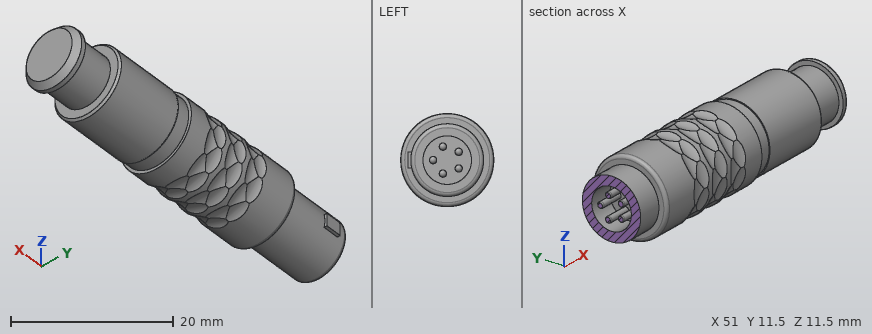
import cadquery as cq
import math

total_length = 51.0
grip_start = 11.0
grip_end = 30.8
groove_end = 32.9
rear_sleeve_end = 43.95
flange_start = 49.4

nose_diameter = 9.0
grip_diameter = 11.5
groove_diameter = 10.6
rear_sleeve_diameter = 10.9
neck_diameter = 7.8
flange_diameter = 9.1

edge_radius = 0.5
rear_sleeve_chamfer = 0.3
flange_chamfer_length = 0.9
flange_chamfer_height = 0.8

socket_diameter = 6.0
socket_depth = grip_start
pin_count = 5
pin_diameter = 0.9
pin_circle_radius = 1.75
pin_length = 4.0

key_start = 1.7
key_length = 2.5
key_width = 2.0
key_outer_radius = 4.85

band_count = 3
band_pitch = 3.82
first_band_center = 18.3
ring_offset = 0.43
scallops_per_ring = 10
scallop_radius = 2.0
scallop_depth = 0.4
scallop_angle = 360.0 / scallops_per_ring


def turned_body():
    """Stepped body of revolution about the X axis."""
    nose_r = nose_diameter / 2
    grip_r = grip_diameter / 2
    groove_r = groove_diameter / 2
    sleeve_r = rear_sleeve_diameter / 2
    neck_r = neck_diameter / 2
    flange_r = flange_diameter / 2
    arc_inset = edge_radius * (1 - math.sqrt(0.5))
    profile = (
        cq.Workplane("XY")
        .lineTo(0, nose_r - edge_radius)
        .threePointArc((arc_inset, nose_r - arc_inset), (edge_radius, nose_r))
        .lineTo(grip_start, nose_r)
        .lineTo(grip_start, grip_r - edge_radius)
        .threePointArc(
            (grip_start + arc_inset, grip_r - arc_inset),
            (grip_start + edge_radius, grip_r),
        )
        .lineTo(grip_end, grip_r)
        .lineTo(grip_end, groove_r)
        .lineTo(groove_end, groove_r)
        .lineTo(groove_end, sleeve_r)
        .lineTo(rear_sleeve_end - rear_sleeve_chamfer, sleeve_r)
        .lineTo(rear_sleeve_end, sleeve_r - rear_sleeve_chamfer)
        .lineTo(rear_sleeve_end, neck_r)
        .lineTo(flange_start, neck_r)
        .lineTo(flange_start, flange_r)
        .lineTo(total_length - flange_chamfer_length, flange_r)
        .lineTo(total_length, flange_r - flange_chamfer_height)
        .lineTo(total_length, 0)
        .close()
    )
    return profile.revolve(360, (0, 0, 0), (1, 0, 0))


def scallop_ring(center_x, start_angle):
    """Ring of cylinders lying tangent to the grip, each sunk by the scallop depth."""
    axis_distance = grip_diameter / 2 - scallop_depth + scallop_radius
    cutter_length = grip_diameter / 2
    cutter = (
        cq.Workplane("XZ")
        .center(center_x, axis_distance)
        .circle(scallop_radius)
        .extrude(cutter_length / 2, both=True)
    )
    return [
        cutter.rotate((0, 0, 0), (1, 0, 0), start_angle + i * scallop_angle)
        for i in range(scallops_per_ring)
    ]


def cut_grip(body):
    """Cut the staggered scallop rings; front rings have a scallop facing -Y."""
    toward_minus_y = 90.0
    for band in range(band_count):
        band_center = first_band_center + band * band_pitch
        front_ring = scallop_ring(band_center - ring_offset, toward_minus_y)
        rear_ring = scallop_ring(band_center + ring_offset, toward_minus_y + scallop_angle / 2)
        for cutter in front_ring + rear_ring:
            body = body.cut(cutter)
    return body


def alignment_key():
    """Flat rectangular key rooted inside the nose wall."""
    wall_middle = (socket_diameter + nose_diameter) / 4
    key_height = key_outer_radius - wall_middle
    key = cq.Workplane("XY").box(key_length, key_height, key_width, centered=(False, False, True))
    return key.translate((key_start, wall_middle, 0))


def socket():
    """Blind round bore opening at the mating face."""
    return cq.Workplane("YZ").circle(socket_diameter / 2).extrude(socket_depth)


def contact_pins():
    """Round-tipped pins standing on the socket floor, the first one toward +Y."""
    pin_r = pin_diameter / 2
    tip_x = socket_depth - pin_length
    root_x = socket_depth + pin_r
    dome_x = tip_x + pin_r
    shank = cq.Workplane("YZ", origin=(dome_x, 0, 0)).circle(pin_r).extrude(root_x - dome_x)
    dome = cq.Workplane("XY").sphere(pin_r).translate((dome_x, 0, 0))
    first_pin = shank.union(dome).translate((0, pin_circle_radius, 0))
    return [
        first_pin.rotate((0, 0, 0), (1, 0, 0), i * 360.0 / pin_count)
        for i in range(pin_count)
    ]


result = cut_grip(turned_body()).union(alignment_key()).cut(socket())
for pin in contact_pins():
    result = result.union(pin)